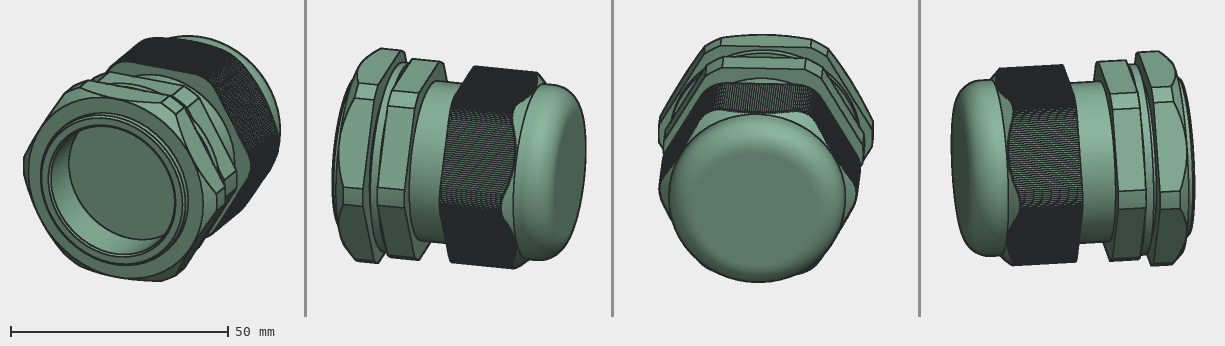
import math

import cadquery as cq

total_length = 51.81

body_dia = 37.0
body_end_chamfer = 0.5
bore_dia = 31.6
bore_depth = 10.0
bore_chamfer = 0.45

locknut_start = 2.0
locknut_end = 9.0
locknut_flats = 44.7
locknut_corner_dia = 49.28
locknut_face_dia = 44.6

flange_start = 10.1
flange_dia = 44.0
hexagon_start = 12.0
hexagon_end = 18.45
hexagon_flats = 41.9
hexagon_corner_dia = 46.0

cap_start = 26.7
cap_shoulder = 43.6
ridge_pitch = 0.5
ridges_per_flat = 32
ridges_per_corner = 15
cap_flats = 41.4

dome_dia = 40.6
dome_radius = 5.9

SIDES = 6
SIDE_ANGLE = 360.0 / SIDES


def cylinder(diameter, start, end):
    """Round bar along Y between two stations."""
    return cq.Workplane("XZ", origin=(0, start, 0)).circle(diameter / 2).extrude(start - end)


def hexagon(flats, start, end):
    """Hexagonal bar along Y with flats facing +Z and -Z."""
    corner_dia = flats / math.cos(math.radians(SIDE_ANGLE / 2))
    return cq.Workplane("XZ", origin=(0, start, 0)).polygon(SIDES, corner_dia).extrude(start - end)


def revolved(points):
    """Solid of revolution about Y from a closed (radius, y) outline."""
    return cq.Workplane("XY").polyline(points).close().revolve(360, (0, 0), (0, 1))


def make_body():
    body = cylinder(body_dia, 0, cap_shoulder)
    return body.faces("<Y").chamfer(body_end_chamfer)


def make_locknut():
    corner_radius = locknut_corner_dia / 2
    face_radius = locknut_face_dia / 2
    bevel = corner_radius - face_radius
    envelope = revolved([
        (0, locknut_start),
        (face_radius, locknut_start),
        (corner_radius, locknut_start + bevel),
        (corner_radius, locknut_end),
        (0, locknut_end),
    ])
    return hexagon(locknut_flats, locknut_start, locknut_end).intersect(envelope)


def make_body_hexagon():
    rounding = cylinder(hexagon_corner_dia, hexagon_start, hexagon_end)
    return hexagon(hexagon_flats, hexagon_start, hexagon_end).intersect(rounding)


def turned(outward, along, facing):
    """The (x, z) point lying outward and sideways from the axis in a given facing."""
    return (
        outward * math.cos(facing) - along * math.sin(facing),
        outward * math.sin(facing) + along * math.cos(facing),
    )


def cap_valley_points():
    """Valleys between the ridges, in order round the cap, as (x, z) points."""
    valley_distance = cap_flats / 2 - ridge_pitch / 2
    half_flat = ridges_per_flat * ridge_pitch / 2
    half_side = valley_distance * math.tan(math.radians(SIDE_ANGLE / 2))
    corner_radius = (half_side - half_flat) / math.tan(math.radians(SIDE_ANGLE / 2))
    corner_step = math.radians(SIDE_ANGLE / ridges_per_corner)

    points = []
    for side in range(SIDES):
        facing = math.radians(side * SIDE_ANGLE + SIDE_ANGLE / 2)
        for i in range(ridges_per_flat):
            points.append(turned(valley_distance, i * ridge_pitch - half_flat, facing))
        for i in range(ridges_per_corner):
            swing = i * corner_step
            outward = valley_distance - corner_radius * (1 - math.cos(swing))
            along = half_flat + corner_radius * math.sin(swing)
            points.append(turned(outward, along, facing))
    return points


def make_cap_grip():
    valleys = cap_valley_points()
    outline = cq.Workplane("XZ", origin=(0, cap_start, 0)).moveTo(*valleys[0])
    for (x0, z0), (x1, z1) in zip(valleys, valleys[1:] + valleys[:1]):
        crest = ((x0 + x1 + z1 - z0) / 2, (z0 + z1 + x0 - x1) / 2)
        outline = outline.threePointArc(crest, (x1, z1))
    grip = outline.close().extrude(cap_start - cap_shoulder)

    foot_radius = dome_dia / 2
    envelope_radius = foot_radius + cap_shoulder - cap_start
    envelope = revolved([
        (0, cap_start),
        (envelope_radius, cap_start),
        (foot_radius, cap_shoulder),
        (0, cap_shoulder),
    ])
    return grip.intersect(envelope)


def make_dome():
    return cylinder(dome_dia, cap_shoulder, total_length).faces(">Y").edges().fillet(dome_radius)


def make_bore():
    mouth_radius = bore_dia / 2 + bore_chamfer
    return revolved([
        (0, 0),
        (mouth_radius, 0),
        (bore_dia / 2, bore_chamfer),
        (bore_dia / 2, bore_depth),
        (0, bore_depth),
    ])


result = (
    make_body()
    .union(make_locknut())
    .union(cylinder(flange_dia, flange_start, hexagon_start))
    .union(make_body_hexagon())
    .union(make_cap_grip())
    .union(make_dome())
    .cut(make_bore())
)